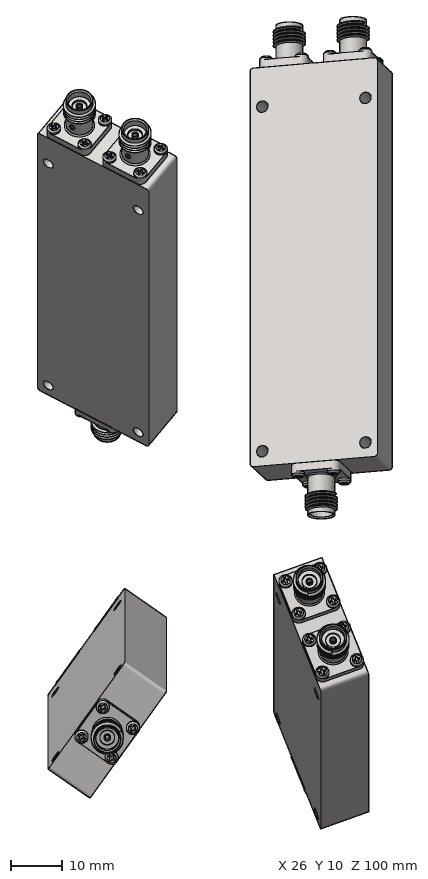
import cadquery as cq

HOUSING_WIDTH = 26.0
HOUSING_DEPTH = 10.0
OVERALL_HEIGHT = 100.0
CONNECTOR_LENGTH = 9.5
HOUSING_HEIGHT = OVERALL_HEIGHT - 2 * CONNECTOR_LENGTH
HOUSING_CORNER_RADIUS = 0.7

MOUNT_HOLE_DIAMETER = 2.3
MOUNT_HOLE_X = 10.5
UPPER_HOLE_INSET = 8.0
LOWER_HOLE_INSET = 3.0

TOP_CONNECTOR_X = 6.5

FLANGE_SIDE = 9.8
FLANGE_THICKNESS = 1.6
FLANGE_CORNER_RADIUS = 1.3

SCREW_OFFSET = FLANGE_SIDE / 2 - FLANGE_CORNER_RADIUS
SCREW_HEAD_DIAMETER = 2.6
SCREW_HEAD_TOP = 2.4
SCREW_HEAD_CHAMFER = 0.4
RECESS_LENGTH = 1.2
RECESS_WIDTH = 0.4
RECESS_DEPTH = 0.5

BARREL_DIAMETER = 5.3
THREAD_DIAMETER = 6.3
THREAD_BOTTOM = 5.1
THREAD_TOP = 8.8
THREAD_PITCH = 0.7
RIDGE_BASE_WIDTH = 0.6
RIDGE_CREST_WIDTH = 0.1
RIDGE_EMBED = 0.1
BASE_CHAMFER = 0.3

SIDE_HOLE_DIAMETER = 1.1
SIDE_HOLE_HEIGHT = 3.6
SIDE_HOLE_DEPTH = 0.2

SOCKET_MOUTH_DIAMETER = 5.1
SOCKET_DIAMETER = 4.5
SOCKET_DEPTH = 1.8
INSULATOR_BORE_DIAMETER = 2.9
INSULATOR_BORE_DEPTH = 0.5
CONTACT_DIAMETER = 1.3
CONTACT_BORE_DIAMETER = 0.94
CONTACT_BORE_DEPTH = 2.0


def cylinder(diameter, bottom, top):
    """Upright cylinder on the Z axis between two heights."""
    return cq.Workplane("XY").workplane(offset=bottom).circle(diameter / 2).extrude(top - bottom)


def make_housing():
    housing = (
        cq.Workplane("XY")
        .box(HOUSING_WIDTH, HOUSING_DEPTH, HOUSING_HEIGHT)
        .edges("|Y")
        .fillet(HOUSING_CORNER_RADIUS)
    )
    upper_z = HOUSING_HEIGHT / 2 - UPPER_HOLE_INSET
    lower_z = -HOUSING_HEIGHT / 2 + LOWER_HOLE_INSET
    centres = [(side * MOUNT_HOLE_X, z) for side in (-1, 1) for z in (upper_z, lower_z)]
    holes = (
        cq.Workplane("XZ")
        .pushPoints(centres)
        .circle(MOUNT_HOLE_DIAMETER / 2)
        .extrude(HOUSING_DEPTH, both=True)
    )
    return housing.cut(holes)


def make_flange():
    return (
        cq.Workplane("XY")
        .rect(FLANGE_SIDE, FLANGE_SIDE)
        .extrude(FLANGE_THICKNESS)
        .edges("|Z")
        .fillet(FLANGE_CORNER_RADIUS)
    )


def make_screw_head():
    head = cylinder(SCREW_HEAD_DIAMETER, FLANGE_THICKNESS, SCREW_HEAD_TOP)
    head = head.faces(">Z").chamfer(SCREW_HEAD_CHAMFER)
    top = cq.Workplane("XY").workplane(offset=SCREW_HEAD_TOP)
    for length_x, length_y in ((RECESS_LENGTH, RECESS_WIDTH), (RECESS_WIDTH, RECESS_LENGTH)):
        head = head.cut(top.rect(length_x, length_y).extrude(-RECESS_DEPTH))
    return head


def make_thread():
    """Helical ridge whose foot is sunk slightly into the barrel."""
    ridge_length = THREAD_TOP - THREAD_BOTTOM - RIDGE_BASE_WIDTH
    foot_radius = BARREL_DIAMETER / 2 - RIDGE_EMBED
    crest_radius = THREAD_DIAMETER / 2
    helix = cq.Wire.makeHelix(THREAD_PITCH, ridge_length, foot_radius)
    ridge = (
        cq.Workplane("XZ")
        .moveTo(foot_radius, -RIDGE_BASE_WIDTH / 2)
        .lineTo(crest_radius, -RIDGE_CREST_WIDTH / 2)
        .lineTo(crest_radius, RIDGE_CREST_WIDTH / 2)
        .lineTo(foot_radius, RIDGE_BASE_WIDTH / 2)
        .close()
        .sweep(cq.Workplane(helix), isFrenet=True)
    )
    return ridge.translate((0, 0, THREAD_BOTTOM + RIDGE_BASE_WIDTH / 2))


def make_base_cone():
    """Small cone that widens the barrel where it meets the flange."""
    cone = cylinder(BARREL_DIAMETER + 2 * BASE_CHAMFER, 0, FLANGE_THICKNESS + BASE_CHAMFER)
    return cone.faces(">Z").chamfer(BASE_CHAMFER)


def make_barrel():
    tip = CONNECTOR_LENGTH
    socket_floor = tip - SOCKET_DEPTH
    barrel = cylinder(BARREL_DIAMETER, 0, tip).union(make_thread()).union(make_base_cone())

    side_hole = (
        cq.Workplane("XZ", origin=(0, -BARREL_DIAMETER / 2 + SIDE_HOLE_DEPTH, SIDE_HOLE_HEIGHT))
        .circle(SIDE_HOLE_DIAMETER / 2)
        .extrude(BARREL_DIAMETER)
    )
    barrel = barrel.cut(side_hole)

    mouth_chamfer = (SOCKET_MOUTH_DIAMETER - SOCKET_DIAMETER) / 2
    mouth = (
        cq.Workplane("XY")
        .workplane(offset=tip)
        .circle(SOCKET_MOUTH_DIAMETER / 2)
        .workplane(offset=-mouth_chamfer)
        .circle(SOCKET_DIAMETER / 2)
        .loft()
    )
    barrel = barrel.cut(mouth).cut(cylinder(SOCKET_DIAMETER, socket_floor, tip))
    barrel = barrel.cut(
        cylinder(INSULATOR_BORE_DIAMETER, socket_floor - INSULATOR_BORE_DEPTH, socket_floor)
    )
    contact = cylinder(CONTACT_DIAMETER, socket_floor - INSULATOR_BORE_DEPTH, socket_floor)
    contact_bore = cylinder(CONTACT_BORE_DIAMETER, socket_floor - CONTACT_BORE_DEPTH, socket_floor)
    return barrel.union(contact).cut(contact_bore)


def make_connector():
    """Complete connector pointing up +Z, with its mounting face at Z = 0."""
    connector = make_flange()
    head = make_screw_head()
    for x in (-SCREW_OFFSET, SCREW_OFFSET):
        for y in (-SCREW_OFFSET, SCREW_OFFSET):
            connector = connector.union(head.translate((x, y, 0)))
    return connector.union(make_barrel())


connector = make_connector()
face_z = HOUSING_HEIGHT / 2
result = make_housing()
for x in (-TOP_CONNECTOR_X, TOP_CONNECTOR_X):
    result = result.union(connector.translate((x, 0, face_z)))
result = result.union(connector.rotate((0, 0, 0), (0, 1, 0), 180).translate((0, 0, -face_z)))